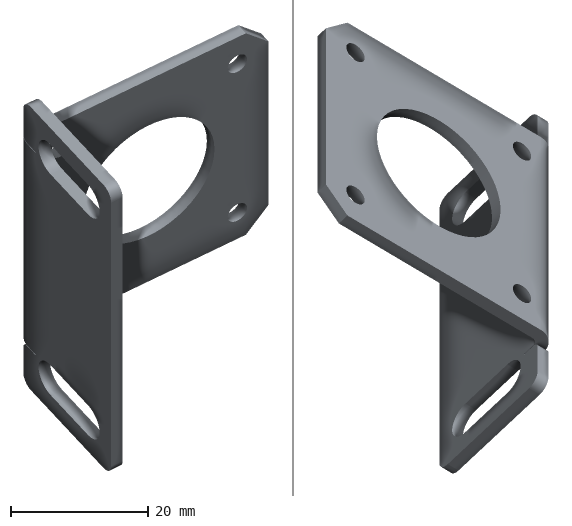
import cadquery as cq

thickness = 2.0
bend_inner_radius = 1.0
bend_outer_radius = bend_inner_radius + thickness

plate_depth = 43.0
plate_height = 42.0
plate_chamfer = 4.0
motor_axis_y = 22.0
pilot_diameter = 23.0
screw_pitch = 31.0
screw_diameter = 3.4

flange_width = 25.0
flange_height = 59.0
flange_corner_radius = 2.0
ear_inner_radius = 1.0
slot_length = 16.0
slot_width = 6.2
slot_center_x = 14.0
slot_pitch = 46.0

slit_width = 0.15
slit_end_x = 5.2


def make_folded_sheet():
    """L-shaped profile with a rounded bend, as tall as the motor plate."""
    return (
        cq.Workplane("XY")
        .workplane(offset=-plate_height / 2)
        .moveTo(bend_outer_radius, 0)
        .lineTo(flange_width, 0)
        .lineTo(flange_width, thickness)
        .lineTo(bend_outer_radius, thickness)
        .radiusArc((thickness, bend_outer_radius), bend_inner_radius)
        .lineTo(thickness, plate_depth)
        .lineTo(0, plate_depth)
        .lineTo(0, bend_outer_radius)
        .radiusArc((bend_outer_radius, 0), -bend_outer_radius)
        .close()
        .extrude(plate_height)
        .edges("|X and >Y")
        .chamfer(plate_chamfer)
    )


def make_box(x_start, x_end, z_start, z_end):
    """Block spanning the flange thickness between the given X and Z limits."""
    return cq.Workplane("XY").box(
        x_end - x_start, thickness, z_end - z_start, centered=False
    ).translate((x_start, 0, z_start))


def make_ear():
    """Upper flange ear, with its slit side rounded and its root past the slit."""
    ear_bottom = plate_height / 2 + slit_width
    ear_top = flange_height / 2
    ear = make_box(thickness, flange_width, ear_bottom, ear_top)
    ear = ear.edges("|Y and >Z").fillet(flange_corner_radius)
    ear = ear.edges("|Y and <X and <Z").fillet(ear_inner_radius)
    root = make_box(slit_end_x, flange_width, plate_height / 2, ear_bottom)
    return ear.union(root)


def make_motor_holes():
    """Pilot bore and four screw holes through the motor plate."""
    plane = cq.Workplane("YZ").center(motor_axis_y, 0)
    pilot = plane.circle(pilot_diameter / 2).extrude(thickness)
    screws = (
        plane.rect(screw_pitch, screw_pitch, forConstruction=True)
        .vertices()
        .circle(screw_diameter / 2)
        .extrude(thickness)
    )
    return pilot.union(screws)


def make_flange_slots():
    """Two horizontal adjustment slots through the flange."""
    return (
        cq.Workplane("XZ")
        .center(slot_center_x, 0)
        .pushPoints([(0, -slot_pitch / 2), (0, slot_pitch / 2)])
        .slot2D(slot_length, slot_width)
        .extrude(-thickness)
    )


upper_ear = make_ear()
bracket = make_folded_sheet().union(upper_ear).union(upper_ear.mirror("XY"))
result = bracket.cut(make_motor_holes()).cut(make_flange_slots())